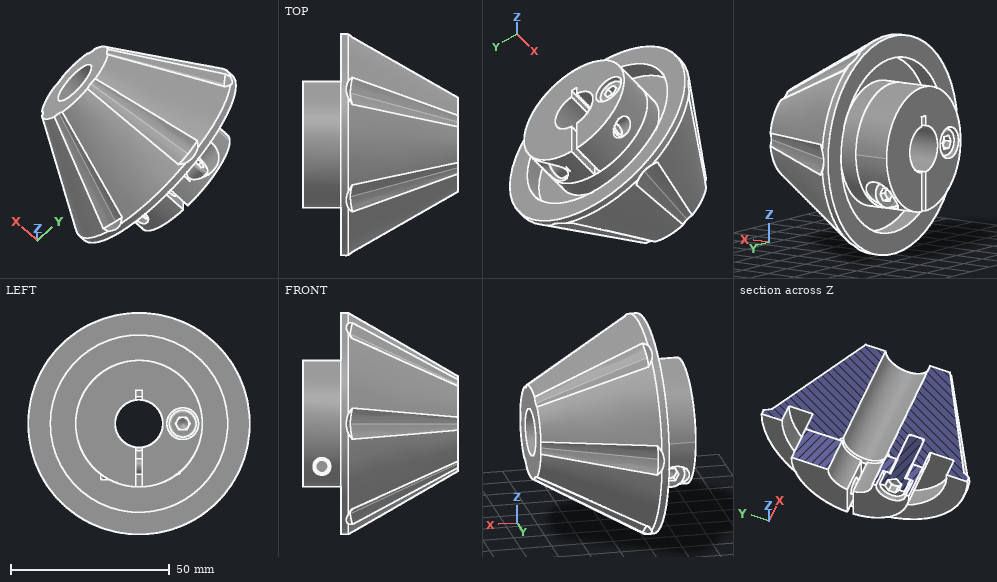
import cadquery as cq
import math

total_length = 49.0
bore_diameter = 15.0

hub_diameter = 40.0
hub_length = 12.0
slot_width = 2.0
relief_slot_top = 10.5

rim_diameter = 70.0
nose_diameter = 30.0
cone_half_angle = 30.0
recess_diameter = 56.0
recess_depth = 6.0
bore_chamfer = 1.0

flute_count = 6
flute_start_x = 15.0
flute_start_floor = 32.7
flute_end_floor = 14.35
flute_start_radius = 9.5
flute_end_radius = 4.9
flute_nose_half_angle = 32.0
flute_run_out = 4.0

thread_diameter = 5.0
clearance_diameter = 5.5
head_diameter = 8.5
head_height = 5.0
head_fillet = 0.4
tip_chamfer = 0.5
socket_sides = 6
socket_flats = 4.0
socket_depth = 2.5
drill_point_angle = 120.0
counterbore_diameter = 10.0

mount_screw_y = -13.8
mount_seat_x = 6.0
mount_screw_length = 16.0

clamp_screw_x = hub_length / 2
clamp_screw_z = -13.5
clamp_seat_y = 7.0
clamp_screw_length = 20.0

bore_radius = bore_diameter / 2
hub_radius = hub_diameter / 2
rim_radius = rim_diameter / 2
nose_radius = nose_diameter / 2
cone_length = (rim_radius - nose_radius) / math.tan(math.radians(cone_half_angle))
cone_start_x = total_length - cone_length

mount_plane = cq.Plane(origin=(mount_seat_x, mount_screw_y, 0), xDir=(0, 1, 0), normal=(-1, 0, 0))
clamp_plane = cq.Plane(
    origin=(clamp_screw_x, clamp_seat_y, clamp_screw_z), xDir=(1, 0, 0), normal=(0, 1, 0)
)


def cap_screw(plane, length):
    """Socket head cap screw with its head seat on the plane."""
    head = cq.Workplane(plane).circle(head_diameter / 2).extrude(head_height)
    head = head.faces(cq.selectors.DirectionMinMaxSelector(plane.zDir)).edges().fillet(head_fillet)
    shank = cq.Workplane(plane).circle(thread_diameter / 2).extrude(-length)
    shank = shank.faces(cq.selectors.DirectionMinMaxSelector(-plane.zDir)).chamfer(tip_chamfer)

    socket_corners = socket_flats / math.cos(math.pi / socket_sides)
    socket = (
        cq.Workplane(plane)
        .workplane(offset=head_height)
        .polygon(socket_sides, socket_corners)
        .extrude(-socket_depth)
    )
    point_radius = socket_flats / 2
    point_depth = point_radius / math.tan(math.radians(drill_point_angle / 2))
    point = cq.Solid.makeCone(
        point_radius,
        0,
        point_depth,
        pnt=plane.toWorldCoords((0, 0, head_height - socket_depth)),
        dir=-plane.zDir,
    )
    return head.union(shank).cut(socket).cut(cq.Workplane(point))


def shank_hole(plane, diameter, depth):
    """Hole for a screw shank, running from the head seat away from the head."""
    return cq.Workplane(plane).circle(diameter / 2).extrude(-depth)


def head_counterbore(plane):
    """Counterbore from the head seat out past the hub surface."""
    return cq.Workplane(plane).circle(counterbore_diameter / 2).extrude(hub_diameter)


def clamping_hub():
    """Split ring with a counterbored hole for each screw."""
    hub = cq.Workplane("YZ").circle(hub_radius).circle(bore_radius).extrude(hub_length)

    slot_height = hub_radius + relief_slot_top
    slots = (
        cq.Workplane("XY", origin=(0, 0, -hub_radius))
        .box(hub_length, slot_width, slot_height, centered=(False, True, False))
    )
    hub = hub.cut(slots)

    for plane in (mount_plane, clamp_plane):
        hub = hub.cut(head_counterbore(plane))
        hub = hub.cut(shank_hole(plane, clearance_diameter, hub_diameter))
    return hub


def flute_cutter():
    """Tapered round cutter with a conical nose, laid along the -Y flank of the cone."""
    run = total_length - flute_start_x
    floor_slope = (flute_end_floor - flute_start_floor) / run
    radius_slope = (flute_end_radius - flute_start_radius) / run
    along = cq.Vector(1, -floor_slope, 0).normalized()
    outward = cq.Vector(along.y, -along.x, 0)

    def section(x):
        """Round cross-section square to the groove floor, touching the floor at x."""
        distance = x - flute_start_x
        radius = flute_start_radius + radius_slope * distance
        floor_point = cq.Vector(x, -(flute_start_floor + floor_slope * distance), 0)
        return cq.Wire.makeCircle(radius, floor_point + outward * radius, along)

    body = cq.Solid.makeLoft([section(flute_start_x), section(total_length + flute_run_out)], True)
    nose_base = cq.Vector(flute_start_x, -flute_start_floor, 0) + outward * flute_start_radius
    nose_length = flute_start_radius / math.tan(math.radians(flute_nose_half_angle))
    nose = cq.Solid.makeCone(flute_start_radius, 0, nose_length, pnt=nose_base, dir=along * -1)
    return body.fuse(nose)


def fluted_cone():
    """Cone with a rim, a ring recess around the hub seat and flutes on its flank."""
    cone = (
        cq.Workplane("XY")
        .moveTo(hub_length, bore_radius + bore_chamfer)
        .lineTo(hub_length, hub_radius)
        .lineTo(hub_length + recess_depth, hub_radius)
        .lineTo(hub_length + recess_depth, recess_diameter / 2)
        .lineTo(hub_length, recess_diameter / 2)
        .lineTo(hub_length, rim_radius)
        .lineTo(cone_start_x, rim_radius)
        .lineTo(total_length, nose_radius)
        .lineTo(total_length, bore_radius)
        .lineTo(hub_length + bore_chamfer, bore_radius)
        .close()
        .revolve(360, (0, 0, 0), (1, 0, 0))
    )
    cutter = cq.Workplane(flute_cutter())
    for index in range(flute_count):
        angle = index * 360 / flute_count
        cone = cone.cut(cutter.rotate((0, 0, 0), (1, 0, 0), angle))
    return cone.cut(shank_hole(mount_plane, thread_diameter, mount_screw_length))


hub = clamping_hub()
cone = fluted_cone()
mount_screw = cap_screw(mount_plane, mount_screw_length)
clamp_screw = cap_screw(clamp_plane, clamp_screw_length)

result = cq.Compound.makeCompound([hub.val(), cone.val(), mount_screw.val(), clamp_screw.val()])